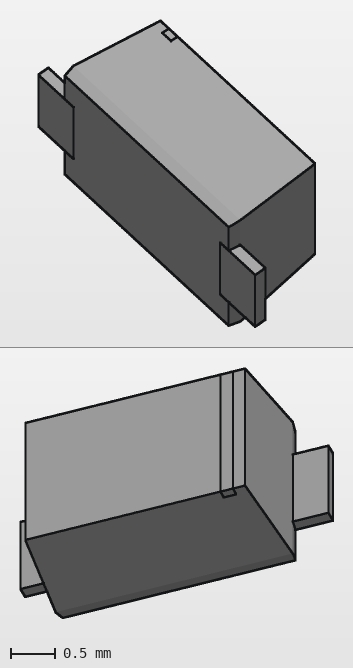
import cadquery as cq

housing_length = 2.85
housing_width = 1.9
housing_height = 1.35
parting_height = 0.15
upper_draft = 5.0
lower_draft = 10.0

overall_length = 3.7
lead_length = 0.6
lead_width = 0.97
lead_thickness = parting_height

bar_width = 0.15
bar_depth = 0.1
bar_center_x = -1.1


def box_from(x_center, x_size, y_start, y_size, z_size):
    """Box centred on Z = 0 that rises along +Y from y_start."""
    return cq.Workplane("XY").box(x_size, y_size, z_size).translate((x_center, y_start + y_size / 2, 0))


def drafted_half(height, draft):
    """Half of the housing, tapering away from the parting plane; negative height goes towards -Y."""
    return (
        cq.Workplane("XZ", origin=(0, parting_height, 0))
        .rect(housing_length, housing_width)
        .extrude(-height, taper=draft)
    )


def make_lead(side):
    """Lead on the -X side (side = -1) or the +X side (side = 1)."""
    center_x = side * (overall_length - lead_length) / 2
    return box_from(center_x, lead_length, 0, lead_thickness, lead_width)


upper_half = drafted_half(housing_height - parting_height, upper_draft)
lower_half = drafted_half(-parting_height, lower_draft)
housing_envelope = upper_half.union(lower_half)

leads = [make_lead(side) for side in (-1, 1)]

bar_blank = box_from(bar_center_x, bar_width, housing_height - bar_depth, bar_depth, housing_width)
polarity_bar = housing_envelope.intersect(bar_blank)

housing = housing_envelope.cut(polarity_bar)
for lead in leads:
    housing = housing.cut(lead)

result = cq.Compound.makeCompound(
    [housing.solids().val(), polarity_bar.solids().val(), *[lead.val() for lead in leads]]
)